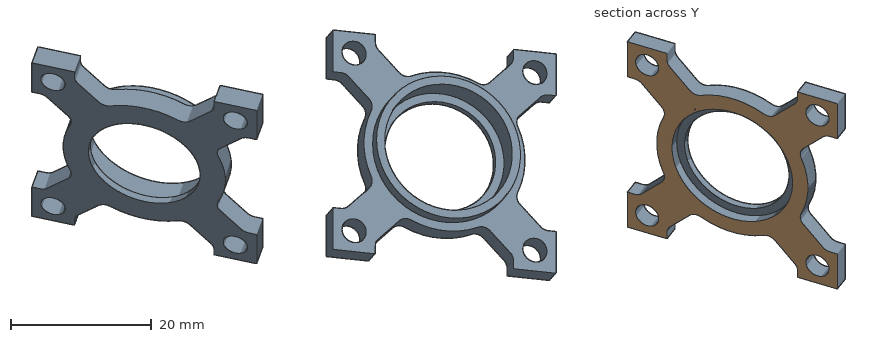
import cadquery as cq
import math

plate_width = 33.27
total_depth = 5.08
plate_thickness = 3.175
boss_height = total_depth - plate_thickness

ring_diameter = 24.0
boss_diameter = 21.43
bore_diameter = 16.5
seat_diameter = 19.0
lip_thickness = 1.1

pad_size = 6.35
arm_width = 6.35
screw_hole_diameter = 3.57
arm_fillet_radius = 1.5875
pad_corner_radius = 0.127

pad_offset = (plate_width - pad_size) / 2
pad_centers = [(sx * pad_offset, sz * pad_offset) for sx in (-1, 1) for sz in (-1, 1)]
arm_length = 2 * math.hypot(pad_offset, pad_offset)
arm_angles = (45, -45)

ring_corner_distance = ring_diameter / 2
pad_inner_edge = plate_width / 2 - pad_size
pad_corner_distance = math.hypot(pad_inner_edge, pad_inner_edge + arm_width / math.sqrt(2))
corner_tolerance = 0.05


def layer(start):
    """Sketch plane parallel to XZ at Y = start, extruding toward +Y."""
    return cq.Workplane(cq.Plane(origin=(0, start, 0), xDir=(1, 0, 0), normal=(0, 1, 0)))


def disc(diameter, start, end):
    """Cylinder on the bore axis between two Y positions."""
    return layer(start).circle(diameter / 2).extrude(end - start)


def fillet_corners(body, distance, radius):
    """Round the edges parallel to Y that lie at the given distance from the bore axis."""
    corners = []
    for edge in body.edges("|Y").vals():
        center = edge.Center()
        if abs(math.hypot(center.x, center.z) - distance) < corner_tolerance:
            corners.append(edge)
    return body.newObject(corners).fillet(radius)


def make_plate():
    """Ring with two crossing arms and a square pad at each corner."""
    plate = disc(ring_diameter, 0, plate_thickness)
    for angle in arm_angles:
        arm = layer(0).rect(arm_length, arm_width).extrude(plate_thickness)
        plate = plate.union(arm.rotate((0, 0, 0), (0, 1, 0), angle))
    pads = layer(0).pushPoints(pad_centers).rect(pad_size, pad_size).extrude(plate_thickness)
    plate = plate.union(pads.edges("|Y").fillet(pad_corner_radius))
    plate = fillet_corners(plate, pad_corner_distance, arm_fillet_radius)
    return fillet_corners(plate, ring_corner_distance, arm_fillet_radius)


def make_boss():
    """Round boss on the back of the ring."""
    return disc(boss_diameter, plate_thickness, plate_thickness + boss_height)


def make_bore():
    """Cutter for the through bore and the wider seat behind the front lip."""
    return disc(bore_diameter, 0, total_depth).union(disc(seat_diameter, lip_thickness, total_depth))


def make_screw_holes():
    """Cutter for the through hole in each corner pad."""
    return layer(0).pushPoints(pad_centers).circle(screw_hole_diameter / 2).extrude(plate_thickness)


result = make_plate().union(make_boss()).cut(make_bore()).cut(make_screw_holes())